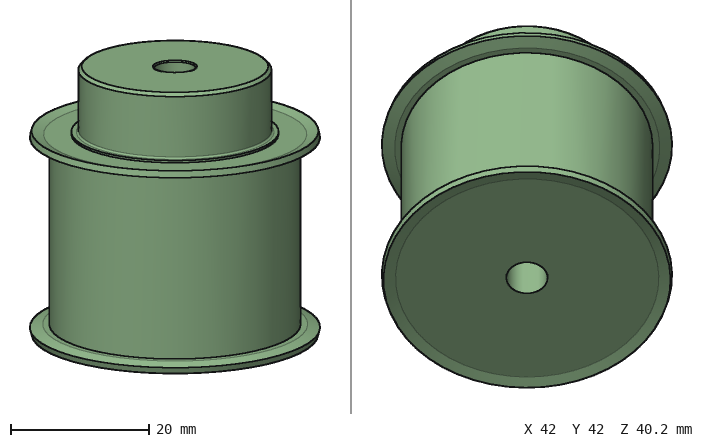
import cadquery as cq
import math

total_height = 40.25
drum_radius = 18.2
bore_radius = 3.0
bore_chamfer = 0.2

hub_radius = 14.0
hub_chamfer = 0.5

collar_radius = 15.0
collar_height = 0.35
cove_radius = 0.3

flange_radius = 21.0
flange_thickness = 1.0
bend_radius = 19.03
bend_angle = math.radians(15)
flange_gap = 27.6

lip_inset = flange_thickness * math.sin(bend_angle)
lip_height = flange_thickness * math.cos(bend_angle)
inner_bend_radius = bend_radius + flange_thickness * math.tan(bend_angle / 2)
rim_rise = (flange_radius - inner_bend_radius) * math.tan(bend_angle)

lower_flange_base = rim_rise + lip_height - flange_thickness
drum_bottom = lower_flange_base + flange_thickness
drum_top = drum_bottom + flange_gap
collar_top = drum_top + flange_thickness + collar_height


def flange(drum_face, direction):
    """Dished flange lying on a drum face; direction is +1 upward, -1 downward."""
    profile = [
        (0, 0),
        (inner_bend_radius, 0),
        (flange_radius, rim_rise),
        (flange_radius - lip_inset, rim_rise + lip_height),
        (bend_radius, flange_thickness),
        (0, flange_thickness),
    ]
    points = [(radius, drum_face + direction * offset) for radius, offset in profile]
    return cq.Workplane("XZ").polyline(points).close().revolve(360, (0, 0), (0, 1))


def core():
    """Drum, collar and chamfered hub turned as one piece."""
    return (
        cq.Workplane("XZ")
        .moveTo(0, drum_bottom)
        .lineTo(drum_radius, drum_bottom)
        .lineTo(drum_radius, drum_top)
        .lineTo(collar_radius, drum_top)
        .lineTo(collar_radius, collar_top)
        .lineTo(hub_radius + cove_radius, collar_top)
        .radiusArc((hub_radius, collar_top + cove_radius), cove_radius)
        .lineTo(hub_radius, total_height - hub_chamfer)
        .lineTo(hub_radius - hub_chamfer, total_height)
        .lineTo(0, total_height)
        .close()
        .revolve(360, (0, 0), (0, 1))
    )


def bore():
    """Through hole with a chamfer at both ends."""
    mouth_radius = bore_radius + bore_chamfer
    points = [
        (0, 0),
        (mouth_radius, 0),
        (bore_radius, bore_chamfer),
        (bore_radius, total_height - bore_chamfer),
        (mouth_radius, total_height),
        (0, total_height),
    ]
    return cq.Workplane("XZ").polyline(points).close().revolve(360, (0, 0), (0, 1))


lower_flange = flange(drum_bottom, -1)
upper_flange = flange(drum_top, 1)
result = core().union(lower_flange).union(upper_flange).cut(bore())